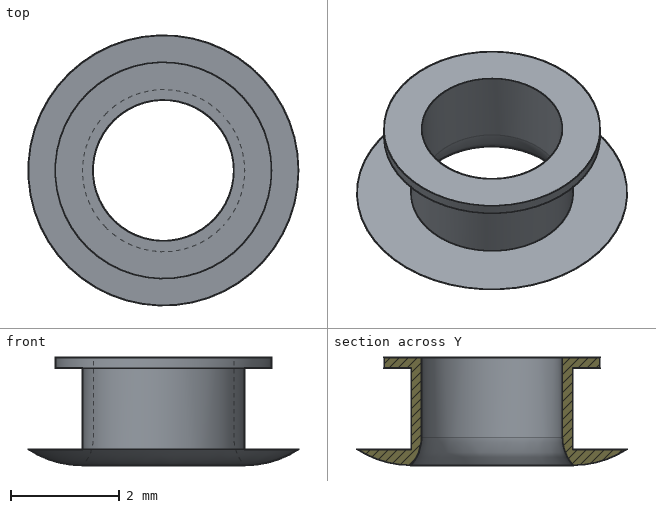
import cadquery as cq
import math

height = 2.0
bore_radius = 2.6 / 2
barrel_radius = 3.0 / 2
top_flange_radius = 4.0 / 2
top_flange_thickness = 0.2
base_flange_radius = 5.0 / 2
base_flange_height = 0.3
bore_flare_height = 0.52

top_flange_bottom = height - top_flange_thickness

dish_width = base_flange_radius - barrel_radius
dish_arc_radius = (dish_width**2 + base_flange_height**2) / (2 * base_flange_height)
dish_mid_angle = math.asin(dish_width / dish_arc_radius) / 2
dish_mid_point = (
    barrel_radius + dish_arc_radius * math.sin(dish_mid_angle),
    dish_arc_radius * (1 - math.cos(dish_mid_angle)),
)

half_section = (
    cq.Workplane("XZ")
    .moveTo(bore_radius, height)
    .lineTo(bore_radius, bore_flare_height)
    .tangentArcPoint((barrel_radius, 0), relative=False)
    .threePointArc(dish_mid_point, (base_flange_radius, base_flange_height))
    .lineTo(barrel_radius, base_flange_height)
    .lineTo(barrel_radius, top_flange_bottom)
    .lineTo(top_flange_radius, top_flange_bottom)
    .lineTo(top_flange_radius, height)
    .close()
)

result = half_section.revolve(360, (0, 0), (0, 1))